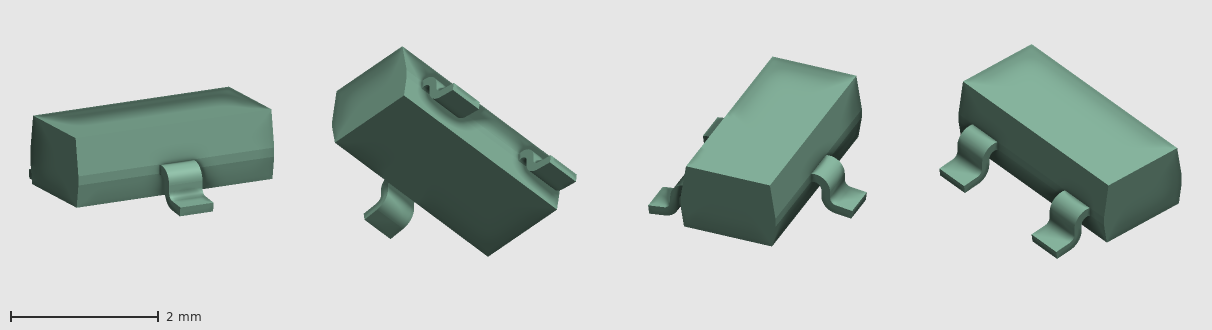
import cadquery as cq
import math

body_length = 3.0
lead_span = 2.6
top_z = 1.1

body_width = 1.398
body_top_width = 1.235
body_bottom_width = 1.295
body_bottom_z = 0.125

lead_thickness = 0.13
lead_width = 0.51
lead_row_offset = 0.95
lead_top_z = 0.582
lead_bottom_z = lead_top_z - lead_thickness
shank_outer_x = 0.975
inner_radius = 0.1
outer_radius = inner_radius + lead_thickness
foot_angle = 7.0


def make_body():
    """Prism with drafted sides above and below a vertical band as tall as a lead is thick."""
    right_side = [
        (body_bottom_width / 2, body_bottom_z),
        (body_width / 2, lead_bottom_z),
        (body_width / 2, lead_top_z),
        (body_top_width / 2, top_z),
    ]
    left_side = [(-x, z) for x, z in reversed(right_side)]
    section = cq.Workplane("XZ").polyline(right_side + left_side).close()
    return section.extrude(body_length / 2, both=True)


def arc_point(center, radius, degrees):
    """Point on a circle, measured counterclockwise from +X."""
    angle = math.radians(degrees)
    return (center[0] + radius * math.cos(angle), center[1] + radius * math.sin(angle))


def make_right_lead(y):
    """Lead on the +X side, of constant thickness, centred at y."""
    tilt = math.radians(foot_angle)
    body_face_x = body_width / 2

    shoulder = (shank_outer_x - outer_radius, lead_top_z - outer_radius)
    face_offset = body_face_x - shoulder[0]
    outer_face_angle = math.degrees(math.acos(face_offset / outer_radius))
    inner_face_angle = math.degrees(math.acos(face_offset / inner_radius))

    heel_x = shank_outer_x + inner_radius
    toe_top = (lead_span / 2, lead_thickness * math.cos(tilt))
    toe_bottom = (toe_top[0] - lead_thickness * math.sin(tilt), 0)

    foot_start_angle = 270 - foot_angle
    foot_run = toe_top[0] - (heel_x - inner_radius * math.sin(tilt))
    heel_z = toe_top[1] + foot_run * math.tan(tilt) + inner_radius * math.cos(tilt)
    heel = (heel_x, heel_z)
    heel_mid_angle = (180 + foot_start_angle) / 2

    section = (
        cq.Workplane("XZ", origin=(0, y, 0))
        .moveTo(*arc_point(shoulder, outer_radius, outer_face_angle))
        .threePointArc(arc_point(shoulder, outer_radius, 45), arc_point(shoulder, outer_radius, 0))
        .lineTo(*arc_point(heel, inner_radius, 180))
        .threePointArc(
            arc_point(heel, inner_radius, heel_mid_angle),
            arc_point(heel, inner_radius, foot_start_angle),
        )
        .lineTo(*toe_top)
        .lineTo(*toe_bottom)
        .lineTo(*arc_point(heel, outer_radius, foot_start_angle))
        .threePointArc(
            arc_point(heel, outer_radius, heel_mid_angle),
            arc_point(heel, outer_radius, 180),
        )
        .lineTo(*arc_point(shoulder, inner_radius, 0))
        .threePointArc(arc_point(shoulder, inner_radius, 45), arc_point(shoulder, inner_radius, inner_face_angle))
        .close()
    )
    return section.extrude(lead_width / 2, both=True)


def make_left_lead(y):
    """Mirror image of the right lead, on the -X side."""
    return make_right_lead(y).mirror("YZ")


body = make_body()
leads = [make_right_lead(0)]
for row_y in (-lead_row_offset, lead_row_offset):
    leads.append(make_left_lead(row_y))

result = cq.Compound.makeCompound([body.val(), *[lead.val() for lead in leads]])